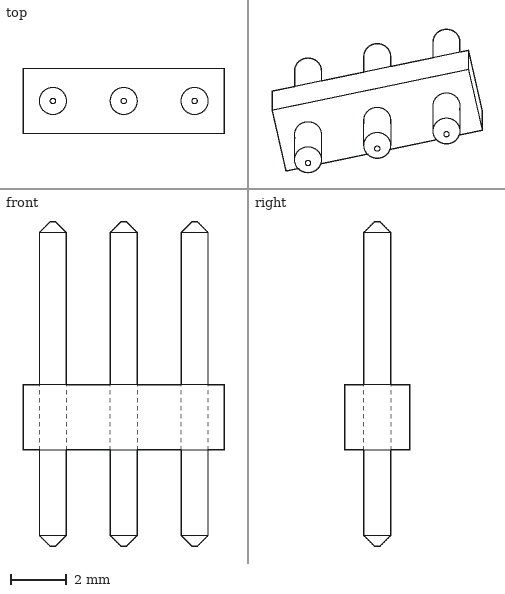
import cadquery as cq

pin_count = 3
pitch = 2.54

block_length = 7.21
block_depth = 2.34
block_height = 2.34

pin_diameter = 0.97
pin_length = 11.64
pin_above_block = 5.84
tip_chamfer = 0.388
pin_bottom = block_height + pin_above_block - pin_length

pin_positions = [((i - (pin_count - 1) / 2) * pitch, 0) for i in range(pin_count)]


def make_block():
    """Rectangular block standing on Z = 0, with one through hole per pin."""
    block = cq.Workplane("XY").box(block_length, block_depth, block_height, centered=(True, True, False))
    holes = cq.Workplane("XY").pushPoints(pin_positions).circle(pin_diameter / 2).extrude(block_height)
    return block.cut(holes)


def make_pin(position):
    """Round pin along Z, chamfered to a small flat at both ends."""
    pin = cq.Workplane("XY").circle(pin_diameter / 2).extrude(pin_length)
    pin = pin.faces("<Z or >Z").chamfer(tip_chamfer)
    x, y = position
    return pin.translate((x, y, pin_bottom))


block = make_block()
pins = [make_pin(position) for position in pin_positions]

result = cq.Compound.makeCompound([block.val(), *[pin.val() for pin in pins]])